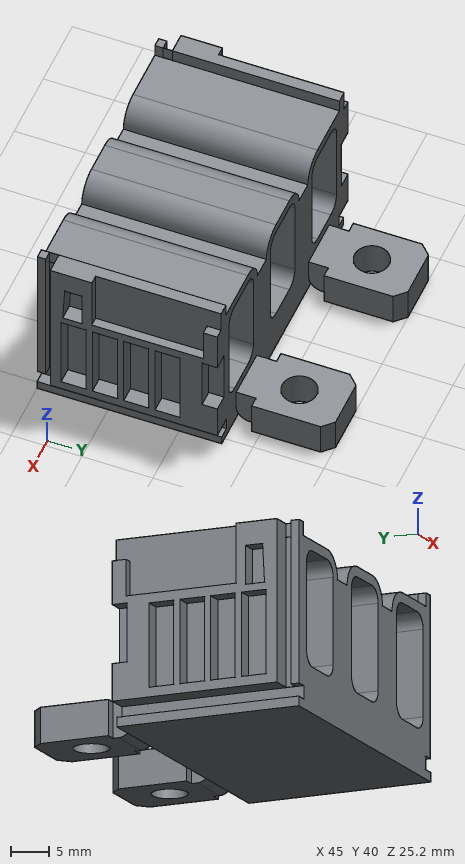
import cadquery as cq

body_depth = 26.0
total_height = 25.2
side_x = 22.5
foot_x = 21.0
foot_height = 1.3
waist_x = 19.4
plate_bottom = 3.1

chamber_count = 3
chamber_pitch = 14.3
chamber_width = 8.45
chamber_bottom = 6.25
chamber_radius = 1.95
wall = 1.4
hump_top = 23.35
hump_radius = chamber_radius + wall
chamber_height = hump_top - wall - chamber_bottom
valley_width = chamber_pitch - chamber_width - 2 * wall

rim_inner_x = 19.55
lip_x = 20.9
lip_depth = 1.15
plate_front = 2.48
web_thickness = 0.05

recess_depth = 1.3
label_front = 8.32
label_back = 24.05
label_bottom = 17.1
shelf_top = 22.05
notch_front = 23.85
notch_bottom = 8.2
notch_top = 16.15

slot_count = 4
slot_front = 4.0
slot_width = 3.5
slot_pitch = 4.4
slot_bottom = 4.4
slot_top = 15.8
slot_depth = 2.3
window_back = 6.98
window_front_low = 4.25
window_front_high = 4.5
window_bottom = 16.8

tab_x = 12.45
tab_width = 10.05
tab_thickness = 4.9
tab_tip = 40.0
tab_shoulder = 28.8
tab_chamfer = 1.5
tab_neck_width = 7.05
tab_bend_radius = 2.0
hole_y = 33.5
hole_diameter = 4.85


def box(x0, x1, y0, y1, z0, z1):
    """Box spanning the given corner coordinates."""
    return cq.Workplane("XY").box(x1 - x0, y1 - y0, z1 - z0, centered=False).translate((x0, y0, z0))


def both_sides(shape):
    """The shape together with its mirror image across the YZ plane."""
    return shape.union(shape.mirror("YZ"))


def make_core():
    """Central block with its humped top, flange and through chambers."""
    core = box(-rim_inner_x, rim_inner_x, 0, body_depth, plate_bottom, hump_top)
    core = core.union(box(-waist_x, waist_x, 0, body_depth, 0, plate_bottom))
    core = core.union(box(-foot_x, foot_x, 0, body_depth, 0, foot_height))
    half_valley = valley_width / 2
    valley = (
        cq.Workplane("XZ")
        .moveTo(-half_valley, hump_top - hump_radius)
        .lineTo(half_valley, hump_top - hump_radius)
        .radiusArc((half_valley + hump_radius, hump_top), hump_radius)
        .lineTo(-half_valley - hump_radius, hump_top)
        .radiusArc((-half_valley, hump_top - hump_radius), hump_radius)
        .close()
        .extrude(-body_depth)
    )
    for side in (-1, 1):
        core = core.cut(valley.translate((side * chamber_pitch / 2, 0, 0)))
    chambers = (
        cq.Workplane("XZ", origin=(0, 0, chamber_bottom + chamber_height / 2))
        .rarray(chamber_pitch, 0.45, chamber_count, 1)
        .rect(chamber_width, chamber_height)
        .extrude(-body_depth)
        .edges("|Y")
        .fillet(chamber_radius)
    )
    return core.cut(chambers)


def make_side():
    """Side plate, front lip and connecting web of the -X side."""
    plate = box(-side_x, -rim_inner_x, plate_front, body_depth, plate_bottom, total_height)
    lip = box(-lip_x, -rim_inner_x, 0, lip_depth, plate_bottom, total_height)
    web_x = -rim_inner_x - web_thickness
    web = box(web_x, -rim_inner_x, lip_depth, plate_front, hump_top, total_height)
    return plate.union(lip).union(web)


def make_side_cuts():
    """Recesses, slots and window of the -X side plate."""
    recess_x = -side_x + recess_depth
    slot_x = -side_x + slot_depth
    cuts = box(-side_x, recess_x, label_front, label_back, label_bottom, total_height)
    cuts = cuts.union(box(-side_x, recess_x, label_back, body_depth, shelf_top, total_height))
    cuts = cuts.union(box(-side_x, slot_x, notch_front, body_depth, notch_bottom, notch_top))
    for i in range(slot_count):
        front = slot_front + i * slot_pitch
        cuts = cuts.union(box(-side_x, slot_x, front, front + slot_width, slot_bottom, slot_top))
    window = (
        cq.Workplane("YZ", origin=(-side_x, 0, 0))
        .moveTo(window_front_low, window_bottom)
        .lineTo(window_back, window_bottom)
        .lineTo(window_back, shelf_top)
        .lineTo(window_front_high, shelf_top)
        .close()
        .extrude(slot_depth)
    )
    return cuts.union(window)


def make_tab():
    """Drilled terminal tab with a bevelled tip and a bend under its neck."""
    blade = (
        box(-tab_x - tab_width / 2, -tab_x + tab_width / 2, tab_shoulder, tab_tip, 0, tab_thickness)
        .edges("|Z and >Y")
        .chamfer(tab_chamfer)
    )
    neck = (
        box(
            -tab_x - tab_neck_width / 2, -tab_x + tab_neck_width / 2,
            body_depth, tab_shoulder, 0, tab_thickness,
        )
        .edges("<Y and <Z")
        .fillet(tab_bend_radius)
    )
    hole = (
        cq.Workplane("XY", origin=(-tab_x, hole_y, 0))
        .circle(hole_diameter / 2)
        .extrude(tab_thickness)
    )
    return blade.union(neck).cut(hole)


side = make_side().cut(make_side_cuts())
result = make_core().union(both_sides(side)).union(both_sides(make_tab()))